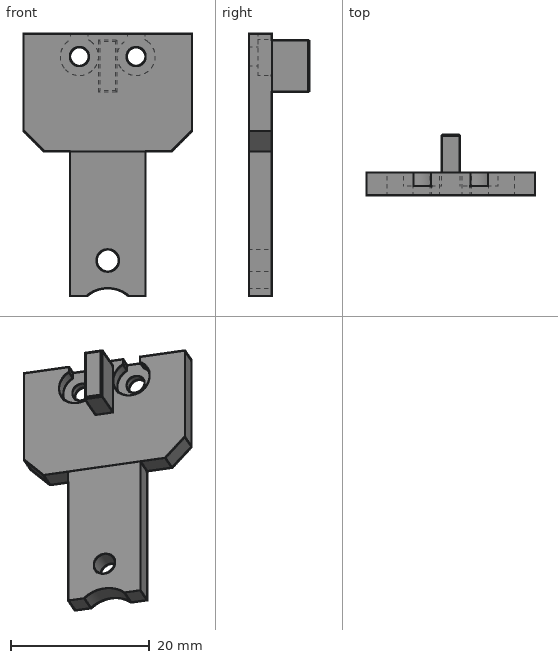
import cadquery as cq

plate_thickness = 3.35
head_width = 24.35
total_height = 37.9
head_height = 16.98
corner_cut = 2.95
head_bottom = total_height - head_height

mount_diameter = 2.7
mount_spacing = 8.2
mount_drop = 3.3
mount_z = total_height - mount_drop
counterbore_diameter = 5.5
slot_width = 2.55
recess_depth = 2.0
recess_floor = plate_thickness - recess_depth

stem_width = 10.9
stem_hole_diameter = 3.2
stem_hole_z = 5.15
notch_width = 6.05
notch_height = 1.15

tab_width = 2.65
tab_height = 7.5
tab_length = 5.45
tab_drop = 0.9
tab_chamfer = 0.23


def block(width, depth, height, y_front, z_bottom):
    """Box centred on X, starting at the given front and bottom."""
    box = cq.Workplane("XY").box(width, depth, height, centered=(True, False, False))
    return box.translate((0, y_front, z_bottom))


def cross_hole(diameter, x, z):
    """Cylinder along Y that is as long as the plate is thick."""
    circle = cq.Workplane("XZ").center(x, z).circle(diameter / 2)
    return circle.extrude(-plate_thickness)


def make_head():
    head = block(head_width, plate_thickness, head_height, 0, head_bottom)
    head = head.edges("|Y and <Z").chamfer(corner_cut)
    for x in (-mount_spacing / 2, mount_spacing / 2):
        counterbore = cross_hole(counterbore_diameter, x, mount_z).translate((0, recess_floor, 0))
        slot = block(slot_width, recess_depth, mount_drop, recess_floor, mount_z).translate((x, 0, 0))
        head = head.cut(cross_hole(mount_diameter, x, mount_z))
        head = head.cut(counterbore)
        head = head.cut(slot)
    tab_bottom = total_height - tab_drop - tab_height
    tab = block(tab_width, tab_length, tab_height, plate_thickness, tab_bottom)
    tab = tab.faces(">Y").chamfer(tab_chamfer)
    return head.union(tab)


def make_stem():
    stem = (
        cq.Workplane("XZ")
        .moveTo(-stem_width / 2, 0)
        .lineTo(-notch_width / 2, 0)
        .threePointArc((0, notch_height), (notch_width / 2, 0))
        .lineTo(stem_width / 2, 0)
        .lineTo(stem_width / 2, head_bottom)
        .lineTo(-stem_width / 2, head_bottom)
        .close()
        .extrude(-plate_thickness)
    )
    return stem.cut(cross_hole(stem_hole_diameter, 0, stem_hole_z))


head = make_head()
stem = make_stem()
result = cq.Compound.makeCompound([head.val(), stem.val()])